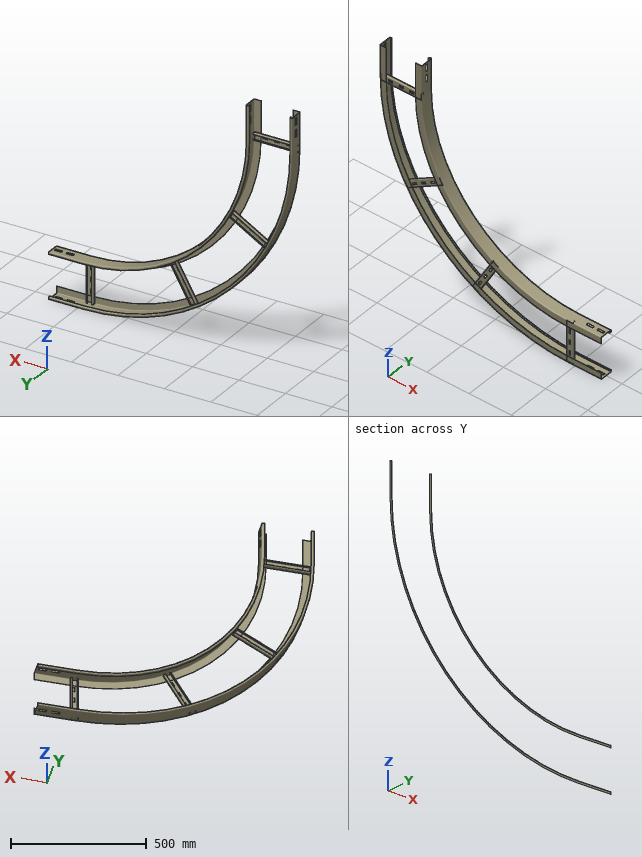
import cadquery as cq
overall = 1050.0
arm_length = 150.0
outer_radius = overall - arm_length
tray_width = 200.0
inner_radius = outer_radius - tray_width
bend_angle = 90.0

rail_depth = 60.0
sheet = 1.6
flange_width = 30.0
hook_width = 12.0
hook_lip = 10.0
rail_bend = 4.0

web_slot_length = 29.0
web_slot_width = 9.0
web_slot_pitch = 50.0
web_slot_count = 2
web_slot_end_gap = 25.0

rung_count = 4
rung_width = 30.0
rung_depth = 15.0
rung_lip = 6.0
rung_bend = 2.0
rung_slot_length = 19.0
rung_slot_width = 7.0
rung_slot_pitch = 50.0
rung_slot_count = 3


def rail_section(web_position, inward):
    """Rail outline in the XY plane; inward (+1 or -1) is the way the flange and the hook point."""

    def at(offset, depth):
        return web_position + inward * offset, depth

    back = rail_depth
    lip_end = back - hook_lip
    return (
        cq.Workplane("XY")
        .moveTo(*at(flange_width, 0))
        .lineTo(*at(rail_bend, 0))
        .tangentArcPoint(at(0, rail_bend), relative=False)
        .lineTo(*at(0, back - rail_bend))
        .tangentArcPoint(at(rail_bend, back), relative=False)
        .lineTo(*at(hook_width - rail_bend, back))
        .tangentArcPoint(at(hook_width, back - rail_bend), relative=False)
        .lineTo(*at(hook_width, lip_end))
        .lineTo(*at(hook_width - sheet, lip_end))
        .lineTo(*at(hook_width - sheet, back - rail_bend))
        .tangentArcPoint(at(hook_width - rail_bend, back - sheet), relative=False)
        .lineTo(*at(rail_bend, back - sheet))
        .tangentArcPoint(at(sheet, back - rail_bend), relative=False)
        .lineTo(*at(sheet, rail_bend))
        .tangentArcPoint(at(rail_bend, sheet), relative=False)
        .lineTo(*at(flange_width, sheet))
        .close()
    )


def turned(body, angle):
    """Turn a body about the bend centre, from the -X side towards the -Z side."""
    return body.rotate((0, 0, 0), (0, 1, 0), -angle)


def web_slots(radius):
    """Cutters for the slots of the upright arm, one behind the other along Z."""
    cutters = cq.Workplane()
    for index in range(web_slot_count):
        height = arm_length - web_slot_end_gap - index * web_slot_pitch
        slot = cq.Workplane().box(2 * rail_bend, web_slot_width, web_slot_length)
        cutters = cutters.add(slot.translate((-radius, rail_depth / 2, height)))
    return cutters.combine()


def side_rail(radius, inward):
    """One rail: a quarter bend whose web lies at the given radius, with an arm at each end."""
    upright_arm = rail_section(-radius, inward).extrude(arm_length)
    upright_arm = upright_arm.cut(web_slots(radius))
    level_arm = turned(upright_arm.mirror("XY"), bend_angle)
    bend = rail_section(-radius, inward).revolve(bend_angle, (0, 0), (0, -1))
    return upright_arm.union(bend, clean=False).union(level_arm, clean=False)


def rung(angle):
    """One rung: a slotted channel, lipped along its open back, between the flange bends of the rails."""
    length = tray_width - 2 * rail_bend
    middle_radius = (outer_radius + inner_radius) / 2
    centre = (-middle_radius, sheet + rung_depth / 2, 0)
    channel = cq.Workplane().box(length, rung_depth, rung_width)
    channel = channel.edges("|X").fillet(rung_bend)
    hollow = cq.Workplane().box(length, rung_depth - 2 * sheet, rung_width - 2 * sheet)
    hollow = hollow.edges("|X").fillet(rung_bend - sheet)
    opening = cq.Workplane().box(length, rung_depth, rung_width - 2 * rung_lip)
    channel = channel.cut(hollow).cut(opening.translate((0, rung_depth / 2, 0)))
    slots = (
        cq.Workplane("XZ")
        .rarray(rung_slot_pitch, 10, rung_slot_count, 1)
        .rect(rung_slot_length, rung_slot_width)
        .extrude(rung_depth)
    )
    return turned(channel.cut(slots).translate(centre), angle)


outer_rail = side_rail(outer_radius, 1)
inner_rail = side_rail(inner_radius, -1)
rungs = [rung(index * bend_angle / (rung_count - 1)) for index in range(rung_count)]

result = cq.Compound.makeCompound(
    [outer_rail.val(), inner_rail.val(), *[body.val() for body in rungs]]
)